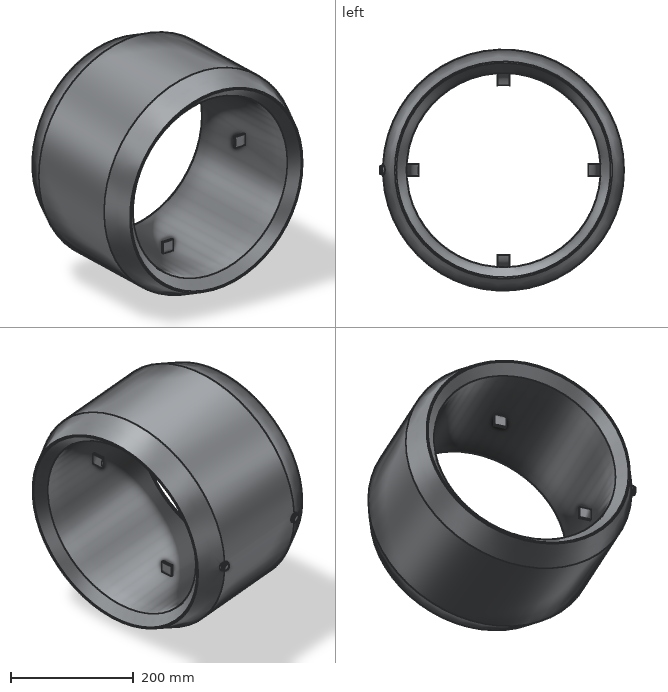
import cadquery as cq

width = 262.0
outer_radius = 196.5
end_radius = 177.0
bore_radius = 158.0
barrel_half_width = 87.5
rim_width = 2.8

tab_width = 20.0
tab_thickness = 4.0
tab_tip_radius = 138.0
tab_root_overlap = 8.0
tab_count = 4

boss_radius = 8.5
boss_top = 196.8
boss_base = 179.0
head_top = 201.0
neck_radius = 6.0
head_radius = 7.0
flare_start = boss_top + 1.0
flare_peak = flare_start + 1.5


def make_ring():
    """Revolve the wall section, with a long outer taper and a 45 degree bore bevel."""
    half_width = width / 2
    rim_inner_radius = end_radius - rim_width
    bore_half_width = half_width - (rim_inner_radius - bore_radius)
    section = [
        (-half_width, rim_inner_radius),
        (-half_width, end_radius),
        (-barrel_half_width, outer_radius),
        (barrel_half_width, outer_radius),
        (half_width, end_radius),
        (half_width, rim_inner_radius),
        (bore_half_width, bore_radius),
        (-bore_half_width, bore_radius),
    ]
    return cq.Workplane("XY").polyline(section).close().revolve(360, (0, 0, 0), (1, 0, 0))


def make_tab(angle):
    """Flat tab at mid width, with its tip rounded concentric to the bore."""
    root_radius = bore_radius + tab_root_overlap
    tab = cq.Workplane("XY").box(tab_thickness, root_radius, tab_width)
    tab = tab.translate((0, root_radius / 2, 0))
    tip_cutter = cq.Workplane("YZ").circle(tab_tip_radius).extrude(tab_thickness, both=True)
    return tab.cut(tip_cutter).rotate((0, 0, 0), (1, 0, 0), angle)


def make_plug(x):
    """Turned plug whose axis points along +Y."""
    half_section = [
        (0, boss_base),
        (boss_radius, boss_base),
        (boss_radius, boss_top),
        (neck_radius, boss_top),
        (neck_radius, flare_start),
        (head_radius, flare_peak),
        (neck_radius, head_top),
        (0, head_top),
    ]
    plug = cq.Workplane("XY").polyline(half_section).close().revolve(360, (0, 0, 0), (0, 1, 0))
    return plug.translate((x, 0, 0))


result = make_ring()
for index in range(tab_count):
    result = result.union(make_tab(index * 360 / tab_count))
for plug_x in (-barrel_half_width, barrel_half_width):
    result = result.union(make_plug(plug_x))